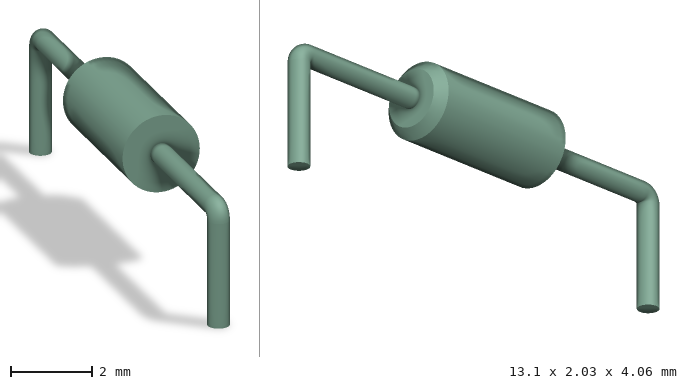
import cadquery as cq

body_diameter = 2.03
body_length = 4.47
end_chamfer = 0.26

wire_diameter = 0.56
wire_radius = wire_diameter / 2
overall_length = 13.12
overall_height = 4.06

bend_inner_radius = 0.005
bend_radius = wire_radius + bend_inner_radius
bend_angle = 90
leg_pitch = overall_length - wire_diameter

body_end = body_length / 2
bend_start = leg_pitch / 2 - bend_radius
leg_bottom = body_diameter / 2 - overall_height
leg_length = -bend_radius - leg_bottom


def make_body():
    """Cylinder along X with a chamfer around its -X end, the other end left square."""
    cylinder = cq.Workplane("YZ", origin=(-body_end, 0, 0)).circle(body_diameter / 2).extrude(body_length)
    return cylinder.faces("<X").chamfer(end_chamfer).solids()


def make_lead(side):
    """Bent wire lead; side is -1 for the -X end of the body and +1 for the +X end."""
    straight_length = bend_start - body_end
    straight = (
        cq.Workplane("YZ", origin=(side * body_end, 0, 0))
        .circle(wire_radius)
        .extrude(side * straight_length)
    )
    bend = (
        cq.Workplane("YZ", origin=(side * bend_start, 0, 0))
        .circle(wire_radius)
        .revolve(bend_angle, (0, -bend_radius), (side, -bend_radius))
    )
    leg = (
        cq.Workplane("XY", origin=(side * leg_pitch / 2, 0, leg_bottom))
        .circle(wire_radius)
        .extrude(leg_length)
    )
    return straight.union(bend).union(leg)


body = make_body()
leads = [make_lead(side) for side in (-1, 1)]

result = cq.Compound.makeCompound([body.val(), *[lead.solids().val() for lead in leads]])